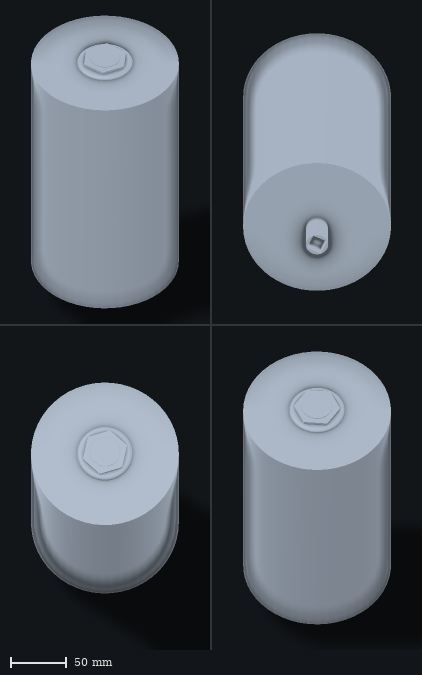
import cadquery as cq
import math

body_diameter = 133.0
body_length = 232.0
shaft_diameter = 20.0
shaft_length = 32.0
collar_diameter = 50.0
collar_height = 3.0
hex_across_flats = 36.0
hex_height = 3.0
pin_diameter = 26.5
pin_height = 0.5
socket_depth = 12.0
socket_side = 14.0

hex_across_corners = hex_across_flats / math.cos(math.radians(30))

collar_base = body_length
hex_base = collar_base + collar_height
pin_base = hex_base + hex_height


def disc(diameter, height, base):
    """Upright cylinder on the Z axis, standing at the given level."""
    return cq.Workplane("XY").workplane(offset=base).circle(diameter / 2).extrude(height)


def make_body():
    return disc(body_diameter, body_length, 0)


def make_shaft():
    """Shaft below the body; a square socket in its free end nearly reaches the wall at its corners."""
    socket = (
        cq.Workplane("XY")
        .workplane(offset=-shaft_length)
        .rect(socket_side, socket_side)
        .extrude(socket_depth)
    )
    return disc(shaft_diameter, shaft_length, -shaft_length).cut(socket)


def make_collar():
    """Round collar on the body, its whole height rounded over by a quarter circle."""
    outer_radius = collar_diameter / 2
    top_radius = outer_radius - collar_height
    mid_offset = collar_height * math.sin(math.radians(45))
    return (
        cq.Workplane("XZ")
        .moveTo(0, collar_base)
        .lineTo(outer_radius, collar_base)
        .threePointArc((top_radius + mid_offset, collar_base + mid_offset), (top_radius, hex_base))
        .lineTo(0, hex_base)
        .close()
        .revolve(360, (0, 0, 0), (0, 1, 0))
    )


def make_hex():
    """Hexagonal head, with flats facing +Y and -Y."""
    return (
        cq.Workplane("XY")
        .workplane(offset=hex_base)
        .polygon(6, hex_across_corners)
        .extrude(hex_height)
    )


def make_pin():
    """Low round end face standing just proud of the hexagonal head."""
    return disc(pin_diameter, pin_height, pin_base)


result = make_body().union(make_shaft()).union(make_collar()).union(make_hex()).union(make_pin())